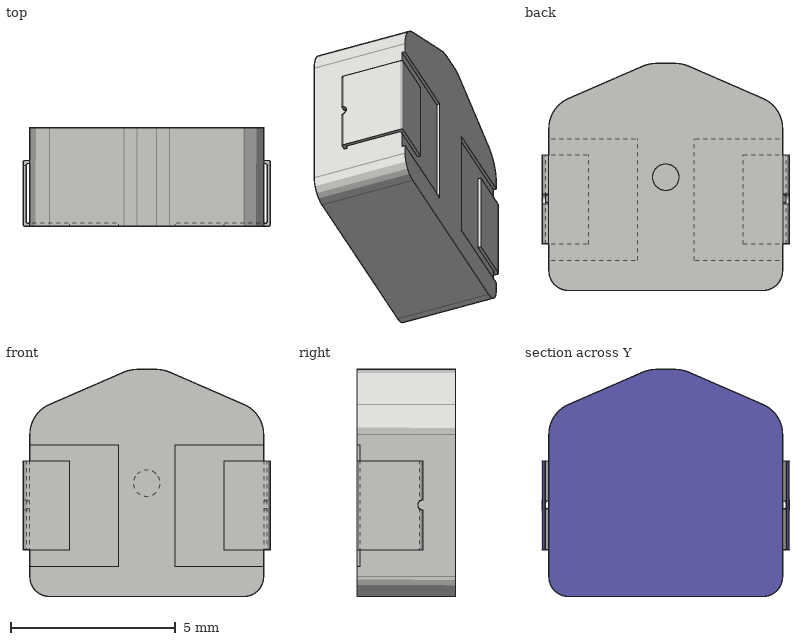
import cadquery as cq

overall_width = 7.5
overall_depth = 3.0
overall_height = 6.9

housing_width = 7.1
housing_front_y = 0.0015
mark_thickness = 0.004
housing_back_y = overall_depth - mark_thickness
shoulder_height = 5.57
roof_flat_width = 1.005
roof_radius = 1.0
base_radius = 0.61

strip_thickness = 0.1
strip_width = 2.7
strip_mid_height = 2.77
strip_depth = 2.0
foot_length = 1.4
bend_radius = 0.05
notch_radius = 0.15
notch_mid_height = 2.78

recess_length = 2.7
recess_height = 3.69
recess_mid_height = 2.76

mark_diameter = 0.8
mark_mid_height = 3.44

wall_x = housing_width / 2
outer_x = overall_width / 2


def make_housing():
    """House-shaped block with rounded corners and a foot recess on each side of its front."""
    outline = [
        (-wall_x, 0),
        (wall_x, 0),
        (wall_x, shoulder_height),
        (roof_flat_width / 2, overall_height),
        (-roof_flat_width / 2, overall_height),
        (-wall_x, shoulder_height),
    ]
    block = (
        cq.Workplane("XZ", origin=(0, housing_front_y, 0))
        .polyline(outline)
        .close()
        .extrude(housing_front_y - housing_back_y)
    )
    block = block.edges("|Y").edges("<Z").fillet(base_radius)
    roof_zone = cq.selectors.BoxSelector(
        (-outer_x, 0, overall_height / 2),
        (outer_x, overall_depth, overall_height + roof_radius),
    )
    block = block.edges("|Y").edges(roof_zone).fillet(roof_radius)

    for side in (-1, 1):
        recess = cq.Workplane("XY").box(
            recess_length, strip_thickness, recess_height, centered=(True, False, True)
        )
        recess_x = side * (wall_x - recess_length / 2)
        block = block.cut(recess.translate((recess_x, 0, recess_mid_height)))
    return block


def make_terminal(side):
    """Bent strip: foot in the front recess, plate beside the housing, and arm to the side wall."""
    plate_x = outer_x - strip_thickness
    strip = (
        cq.Workplane("XY", origin=(0, 0, strip_mid_height - strip_width / 2))
        .moveTo(outer_x - foot_length, 0)
        .lineTo(outer_x, 0)
        .lineTo(outer_x, strip_depth)
        .lineTo(wall_x, strip_depth)
        .lineTo(wall_x, strip_depth - strip_thickness)
        .lineTo(plate_x, strip_depth - strip_thickness)
        .lineTo(plate_x, strip_thickness)
        .lineTo(outer_x - foot_length, strip_thickness)
        .close()
        .extrude(strip_width)
    )
    strip = strip.edges("|Z").edges(">X").fillet(bend_radius)
    inner_bends = cq.selectors.BoxSelector(
        (plate_x - bend_radius / 2, 0, 0),
        (plate_x + bend_radius / 2, overall_depth, overall_height),
    )
    strip = strip.edges("|Z").edges(inner_bends).fillet(bend_radius)

    notch = (
        cq.Workplane("YZ", origin=(wall_x, strip_depth, notch_mid_height))
        .circle(notch_radius)
        .extrude(outer_x - wall_x)
    )
    strip = strip.cut(notch)
    if side < 0:
        strip = strip.mirror("YZ")
    return strip


def make_mark():
    """Thin disc lying on the housing back."""
    return (
        cq.Workplane("XZ", origin=(0, housing_back_y, mark_mid_height))
        .circle(mark_diameter / 2)
        .extrude(-mark_thickness)
    )


housing = make_housing()
terminals = [make_terminal(side) for side in (-1, 1)]
mark = make_mark()

result = cq.Compound.makeCompound(
    [housing.val(), *[terminal.val() for terminal in terminals], mark.val()]
)